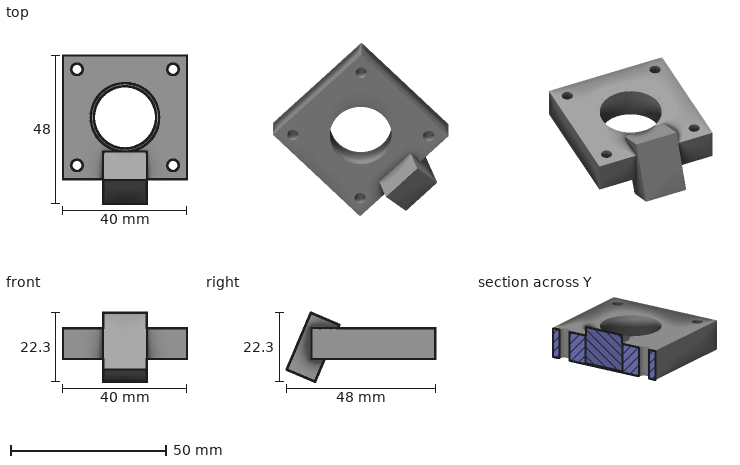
import cadquery as cq

plate_side = 40.0
plate_thickness = 10.0
screw_hole_diameter = 3.6
screw_hole_inset = 4.5

bore_diameter = 22.1
ring_inner_diameter = 20.0
lower_ring_height = 3.0
upper_ring_height = plate_thickness - lower_ring_height

block_width = 14.15
block_depth = 10.0
block_length = 20.0
block_tilt = 23.0
block_center_y = -19.5
block_center_z = 3.8


def make_block():
    """Rectangular block leaning away from the plate at its lower end."""
    return (
        cq.Workplane("XY")
        .box(block_width, block_depth, block_length)
        .rotate((0, 0, 0), (1, 0, 0), -block_tilt)
        .translate((0, block_center_y, block_center_z))
    )


def make_plate(block):
    """Square plate with a bore, corner holes and a notch that fits the block."""
    hole_spacing = plate_side - 2 * screw_hole_inset
    return (
        cq.Workplane("XY")
        .box(plate_side, plate_side, plate_thickness, centered=(True, True, False))
        .faces(">Z")
        .workplane()
        .hole(bore_diameter)
        .faces(">Z")
        .workplane(origin=(0, 0, plate_thickness))
        .rect(hole_spacing, hole_spacing, forConstruction=True)
        .vertices()
        .hole(screw_hole_diameter)
        .cut(block)
        .solids()
    )


def make_ring(base_z, height):
    """Plain ring that fills the bore over the given height."""
    return (
        cq.Workplane("XY", origin=(0, 0, base_z))
        .circle(bore_diameter / 2)
        .circle(ring_inner_diameter / 2)
        .extrude(height)
    )


block = make_block()
plate = make_plate(block)
ring_levels = [(0, lower_ring_height), (lower_ring_height, upper_ring_height)]
rings = [make_ring(base_z, height) for base_z, height in ring_levels]

result = cq.Compound.makeCompound([plate.val(), block.val(), *[ring.val() for ring in rings]])